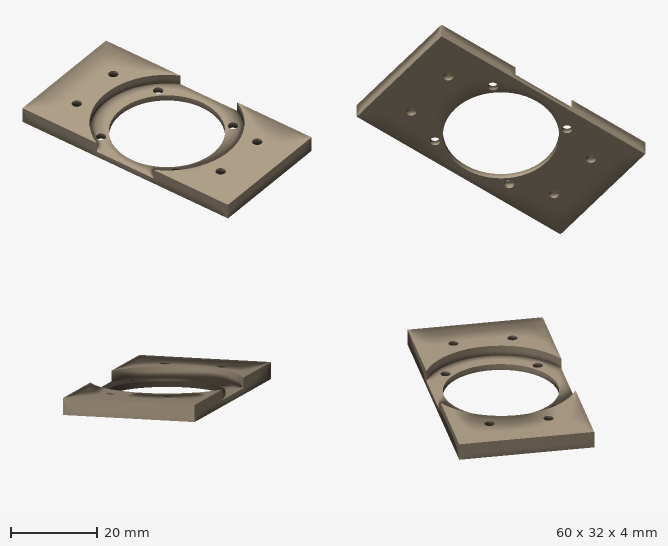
import cadquery as cq

length = 60.0
width = 32.0
thickness = 4.0

recess_diameter = 36.0
recess_depth = 2.5
bore_diameter = 27.0

hole_diameter = 2.4
ring_hole_spacing = 21.85
mount_hole_spacing_x = 42.0
mount_hole_spacing_y = 14.0


def drill_four(body, spacing_x, spacing_y):
    """Drill four through holes at the corners of a centred rectangle."""
    return (
        body.faces("<Z")
        .workplane(origin=(0, 0, 0))
        .rect(spacing_x, spacing_y, forConstruction=True)
        .vertices()
        .hole(hole_diameter)
    )


plate = cq.Workplane("XY").box(length, width, thickness, centered=(True, True, False))

recess_floor = thickness - recess_depth
recess = cq.Workplane("XY").workplane(offset=recess_floor).circle(recess_diameter / 2).extrude(recess_depth)
plate = plate.cut(recess)

plate = plate.faces("<Z").workplane(origin=(0, 0, 0)).hole(bore_diameter)

plate = drill_four(plate, ring_hole_spacing, ring_hole_spacing)

plate = drill_four(plate, mount_hole_spacing_x, mount_hole_spacing_y)

result = plate